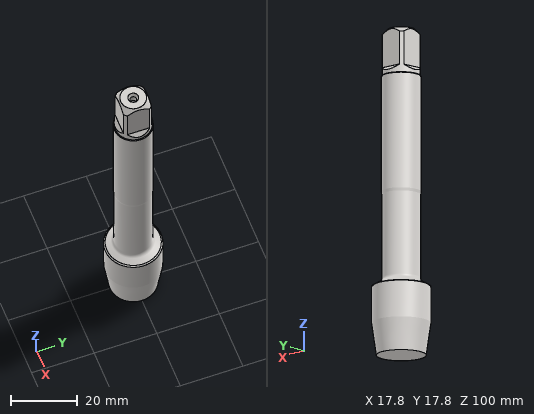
import cadquery as cq
import math

TOTAL_LENGTH = 100.0

HEAD_RADIUS = 17.8 / 2
LEAD_LENGTH = 9.8
LEAD_TIP_RADIUS = 7.5

CONE_FROM_AXIS = math.radians(60)
JOINT_RADIUS = 8.4
JOINT_Z = 21.3

NECK_RADIUS = 11.7 / 2
NECK_FILLET = 1.5
NECK_TOP_Z = 49.2
SHANK_RADIUS = 12.0 / 2
SHANK_START_Z = 50.1
SHANK_END_Z = 85.5

SQUARE_SIDE = 9.0
SQUARE_STOCK_RADIUS = 11.5 / 2
SQUARE_BASE_Z = 88.1
END_FACE_RADIUS = 4.0

CENTRE_RADIUS = 2.0 / 2
CENTRE_MOUTH_RADIUS = 1.6
CENTRE_DRILL_LENGTH = 2.0
CENTRE_CONE_FROM_AXIS = math.radians(30)
DRILL_POINT_FROM_AXIS = math.radians(59)


def revolve_profile(profile):
    """Turn a closed radius-height profile around the Z axis."""
    return profile.close().revolve(360, (0, 0, 0), (0, 1, 0))


def make_cutting_head():
    """Cylindrical head with a tapered lead and a conical upper edge."""
    edge_height = (HEAD_RADIUS - JOINT_RADIUS) / math.tan(CONE_FROM_AXIS)
    profile = (
        cq.Workplane("XZ")
        .lineTo(LEAD_TIP_RADIUS, 0)
        .lineTo(HEAD_RADIUS, LEAD_LENGTH)
        .lineTo(HEAD_RADIUS, JOINT_Z - edge_height)
        .lineTo(JOINT_RADIUS, JOINT_Z)
        .lineTo(0, JOINT_Z)
    )
    return revolve_profile(profile)


def make_turned_shank():
    """Round shank: cone, filleted neck, shank and reduced driving end."""
    fillet_centre_r = NECK_RADIUS + NECK_FILLET
    fillet_foot_r = fillet_centre_r - NECK_FILLET * math.cos(CONE_FROM_AXIS)
    fillet_foot_z = JOINT_Z + (JOINT_RADIUS - fillet_foot_r) / math.tan(CONE_FROM_AXIS)
    fillet_top_z = fillet_foot_z + NECK_FILLET * math.sin(CONE_FROM_AXIS)
    fillet_mid_r = fillet_centre_r - NECK_FILLET * math.cos(CONE_FROM_AXIS / 2)
    fillet_mid_z = fillet_top_z - NECK_FILLET * math.sin(CONE_FROM_AXIS / 2)
    shoulder = SHANK_RADIUS - SQUARE_STOCK_RADIUS
    end_chamfer = SQUARE_STOCK_RADIUS - END_FACE_RADIUS
    profile = (
        cq.Workplane("XZ")
        .moveTo(0, JOINT_Z)
        .lineTo(JOINT_RADIUS, JOINT_Z)
        .lineTo(fillet_foot_r, fillet_foot_z)
        .threePointArc((fillet_mid_r, fillet_mid_z), (NECK_RADIUS, fillet_top_z))
        .lineTo(NECK_RADIUS, NECK_TOP_Z)
        .lineTo(SHANK_RADIUS, SHANK_START_Z)
        .lineTo(SHANK_RADIUS, SHANK_END_Z)
        .lineTo(SQUARE_STOCK_RADIUS, SHANK_END_Z + shoulder)
        .lineTo(SQUARE_STOCK_RADIUS, TOTAL_LENGTH - end_chamfer)
        .lineTo(END_FACE_RADIUS, TOTAL_LENGTH)
        .lineTo(0, TOTAL_LENGTH)
    )
    return revolve_profile(profile)


def make_flat_cutter():
    """Cutter for the +X flat of the square, with a 45-degree runout below it."""
    flat = SQUARE_SIDE / 2
    reach = SHANK_RADIUS
    return (
        cq.Workplane("XZ")
        .moveTo(flat, SQUARE_BASE_Z)
        .lineTo(reach, SQUARE_BASE_Z - (reach - flat))
        .lineTo(reach, TOTAL_LENGTH)
        .lineTo(flat, TOTAL_LENGTH)
        .close()
        .extrude(SHANK_RADIUS, both=True)
    )


def make_centre_hole():
    """Countersunk pilot hole with a drill point."""
    mouth_depth = (CENTRE_MOUTH_RADIUS - CENTRE_RADIUS) / math.tan(CENTRE_CONE_FROM_AXIS)
    drill_end_z = TOTAL_LENGTH - mouth_depth - CENTRE_DRILL_LENGTH
    point_length = CENTRE_RADIUS / math.tan(DRILL_POINT_FROM_AXIS)
    profile = (
        cq.Workplane("XZ")
        .moveTo(0, TOTAL_LENGTH)
        .lineTo(CENTRE_MOUTH_RADIUS, TOTAL_LENGTH)
        .lineTo(CENTRE_RADIUS, TOTAL_LENGTH - mouth_depth)
        .lineTo(CENTRE_RADIUS, drill_end_z)
        .lineTo(0, drill_end_z - point_length)
    )
    return revolve_profile(profile)


def make_shank():
    """Turned shank with the four square flats and the centre hole cut into it."""
    body = make_turned_shank()
    flat_cutter = make_flat_cutter()
    for angle in (0, 90, 180, 270):
        body = body.cut(flat_cutter.rotate((0, 0, 0), (0, 0, 1), angle))
    return body.cut(make_centre_hole())


cutting_head = make_cutting_head()
shank = make_shank()
result = cq.Compound.makeCompound([cutting_head.val(), shank.val()])